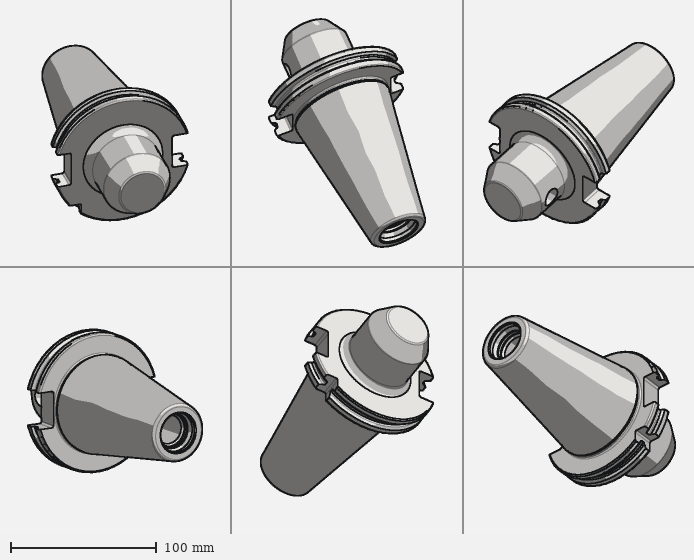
import cadquery as cq
import math


total_length = 164.6
gauge_x = 100.9
gauge_radius = 34.9
taper_slope = 7 / 48
small_end_round = 2.0

relief_start_x = 102.4
relief_radius = 34.4
relief_round = 1.0

flange_x = 104.9
flange_width = 15.8
flange_radius = 48.7
flange_round = 1.0
groove_floor_radius = 45.6
groove_mouth_width = 6.7
groove_floor_width = 4.0
groove_corner_round = 1.0

shank_radius = 24.0
shank_end_x = 151.6
shank_fillet = 6.6
shank_fillet_length = 6.3
nose_angle = 30.0
nose_end_round = 1.5
shank_edge_round = 0.8

slot_width = 25.7
slot_floor_plus_y = 35.4
slot_floor_minus_y = 37.4
slot_round = 1.56
notch_offset = 30.0
notch_round = 1.3

bore_steps = [
    (0, 14.5),
    (0.8, 13.7),
    (3.8, 13.7),
    (7.2, 12.3),
    (7.7, 11.9),
    (10.0, 11.9),
    (10.4, 11.4),
    (12.3, 10.0),
]
bore_depth = 39.5
drill_point_angle = 118.0

screw_x = 140.7
screw_radius = 6.6
screw_depth = 14.0

flange_end_x = flange_x + flange_width
flange_middle_x = flange_x + flange_width / 2


def taper_radius_at(x):
    return gauge_radius - taper_slope * (gauge_x - x)


def revolve_about_x(outline):
    return outline.close().revolve(360, (0, 0, 0), (1, 0, 0))


def taper():
    outline = (
        cq.Workplane("XY")
        .lineTo(0, taper_radius_at(0))
        .lineTo(gauge_x, gauge_radius)
        .lineTo(relief_start_x, relief_radius)
        .lineTo(flange_x, relief_radius)
        .lineTo(flange_x, 0)
    )
    return revolve_about_x(outline).faces("<X").edges().fillet(small_end_round)


def relief_fillet():
    """Concave ring that blends the relief into the flange face."""
    start_x = flange_x - relief_round
    top_radius = relief_radius + relief_round
    outline = (
        cq.Workplane("XY")
        .moveTo(start_x, relief_radius)
        .radiusArc((flange_x, top_radius), -relief_round)
        .lineTo(flange_x + flange_round, top_radius)
        .lineTo(flange_x + flange_round, relief_radius - relief_round)
        .lineTo(start_x, relief_radius - relief_round)
    )
    return revolve_about_x(outline)


def flange():
    disc = (
        cq.Workplane("YZ")
        .workplane(offset=flange_x)
        .circle(flange_radius)
        .extrude(flange_width)
        .edges()
        .fillet(flange_round)
    )
    return disc.cut(v_groove())


def v_groove():
    """Ring with sloping walls that run into a round-cornered floor."""
    half_mouth = groove_mouth_width / 2
    half_floor = groove_floor_width / 2
    half_flat = half_floor - groove_corner_round
    wall_foot_radius = groove_floor_radius + groove_corner_round
    outline = (
        cq.Workplane("XY")
        .moveTo(flange_middle_x - half_mouth, flange_radius)
        .lineTo(flange_middle_x - half_floor, wall_foot_radius)
        .radiusArc((flange_middle_x - half_flat, groove_floor_radius), -groove_corner_round)
        .lineTo(flange_middle_x + half_flat, groove_floor_radius)
        .radiusArc((flange_middle_x + half_floor, wall_foot_radius), -groove_corner_round)
        .lineTo(flange_middle_x + half_mouth, flange_radius)
    )
    return revolve_about_x(outline)


def shank():
    nose_length = total_length - shank_end_x
    nose_radius = shank_radius - nose_length * math.tan(math.radians(nose_angle))
    fillet_rise = shank_fillet - math.sqrt(shank_fillet**2 - shank_fillet_length**2)
    outline = (
        cq.Workplane("XY")
        .moveTo(flange_middle_x, 0)
        .lineTo(flange_middle_x, shank_radius + fillet_rise)
        .lineTo(flange_end_x, shank_radius + fillet_rise)
        .radiusArc((flange_end_x + shank_fillet_length, shank_radius), -shank_fillet)
        .lineTo(shank_end_x, shank_radius)
        .lineTo(total_length, nose_radius)
        .lineTo(total_length, 0)
    )
    body = revolve_about_x(outline)
    rounded_end = body.faces(">X").edges().fillet(nose_end_round)
    shank_edge = cq.selectors.NearestToPointSelector((shank_end_x, 0, 0))
    return rounded_end.edges("%CIRCLE").edges(shank_edge).fillet(shank_edge_round)


def flange_cutter(y_min, y_max, z_min, z_max):
    """Bar along X that spans the flange width."""
    return (
        cq.Workplane("YZ")
        .workplane(offset=flange_x)
        .moveTo((y_min + y_max) / 2, (z_min + z_max) / 2)
        .rect(y_max - y_min, z_max - z_min)
        .extrude(flange_width)
    )


def drive_slots():
    half = slot_width / 2
    plus_slot = flange_cutter(slot_floor_plus_y, flange_radius, -half, half)
    plus_slot = plus_slot.edges("|X and <Y").fillet(slot_round)
    minus_slot = flange_cutter(-flange_radius, -slot_floor_minus_y, -half, half)
    minus_slot = minus_slot.edges("|X and >Y").fillet(slot_round)
    return plus_slot.union(minus_slot)


def orientation_notch():
    notch = flange_cutter(-flange_radius, -notch_offset, -flange_radius, -notch_offset)
    return notch.edges("|X and >Y and >Z").fillet(notch_round)


def drawbar_bore():
    plain_radius = bore_steps[-1][1]
    point_length = plain_radius / math.tan(math.radians(drill_point_angle / 2))
    outline = (
        cq.Workplane("XY")
        .polyline([(0, 0)] + bore_steps)
        .lineTo(bore_depth, plain_radius)
        .lineTo(bore_depth + point_length, 0)
    )
    return revolve_about_x(outline)


def screw_hole():
    return (
        cq.Workplane("XZ", origin=(screw_x, shank_radius, 0))
        .circle(screw_radius)
        .extrude(screw_depth)
    )


result = (
    taper()
    .union(flange())
    .union(relief_fillet())
    .union(shank())
    .cut(drive_slots())
    .cut(orientation_notch())
    .cut(drawbar_bore())
    .cut(screw_hole())
)